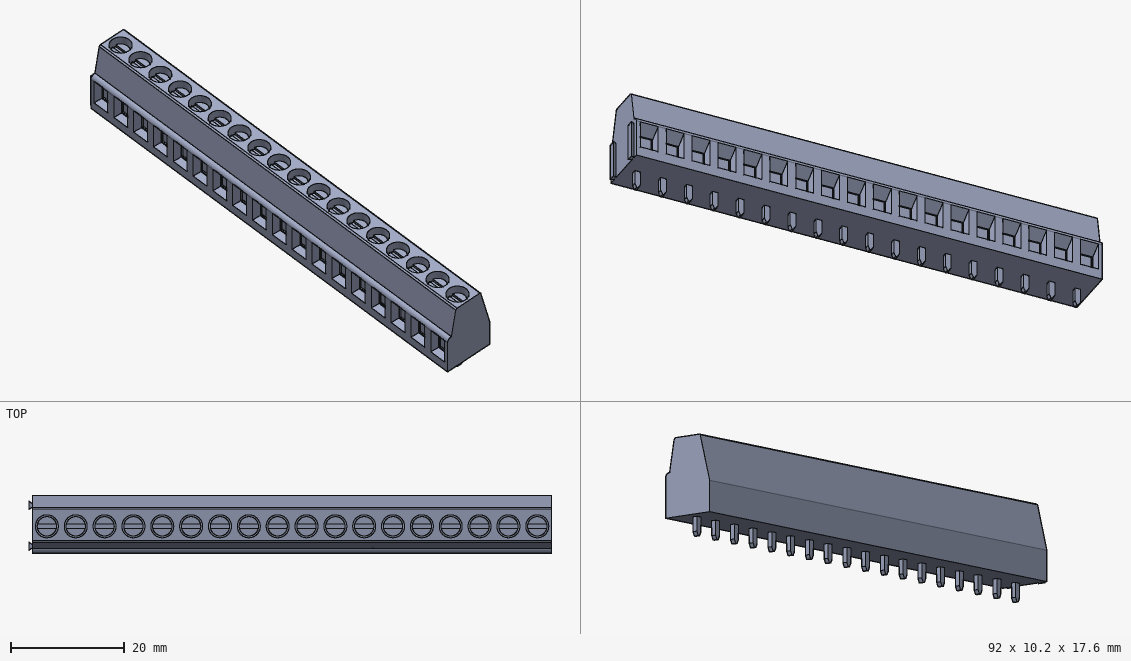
import cadquery as cq

overall_length = 92.0
rib_depth = 0.6
pole_count = 18
body_length = overall_length - rib_depth
pole_pitch = body_length / pole_count

body_depth = 10.2
body_height = 14.2
back_wall_height = 5.6
ledge_height = 8.1
ledge_radius = 0.9
top_front_y = 2.0
top_back_y = 8.0
top_front_chamfer = 0.3
top_back_chamfer = 0.2

mouth_width = 3.5
mouth_bottom = 1.9
mouth_top = ledge_height - ledge_radius
throat_width = 2.85
throat_bottom = 2.2
throat_top = 5.25
funnel_depth = 1.6
clamp_width = 2.5
clamp_bottom = 2.5
clamp_depth = 0.3

screw_y = 4.8
screw_hole_diameter = 4.05
screw_hole_depth = 1.4
screw_head_diameter = 3.4
screw_gap_depth = 0.7
screw_slot_width = 0.8
screw_slot_depth = 0.5

pin_width = 1.1
pin_thickness = 0.9
pin_length = 3.4
pin_tip_width = 0.4
pin_tip_length = 0.7
pin_y = body_depth / 2

rib_width = 1.5
rib_neck_width = 0.6
rib_height = mouth_top
rib_centres_y = (1.3, 8.5)

pole_centres_x = [(i + 0.5) * pole_pitch for i in range(pole_count)]


def housing():
    """Extrude the tapered cross-section along X."""
    body = (
        cq.Workplane("YZ")
        .moveTo(0, 0)
        .lineTo(0, ledge_height - ledge_radius)
        .radiusArc((ledge_radius, ledge_height), ledge_radius)
        .lineTo(top_front_y, body_height)
        .lineTo(top_back_y, body_height)
        .lineTo(body_depth, back_wall_height)
        .lineTo(body_depth, 0)
        .close()
        .extrude(body_length)
    )
    body = body.faces(">Z").edges("<Y").chamfer(top_front_chamfer)
    return body.faces(">Z").edges(">Y").chamfer(top_back_chamfer)


def wire_funnel():
    """Mouth in the front face narrowing to a throat, with a shallow clamp recess in its end."""
    mouth_centre_z = (mouth_bottom + mouth_top) / 2
    throat_centre_z = (throat_bottom + throat_top) / 2
    clamp_centre_z = (clamp_bottom + throat_top) / 2
    funnel = (
        cq.Workplane("XZ", origin=(0, 0, mouth_centre_z))
        .rect(mouth_width, mouth_top - mouth_bottom)
        .workplane(offset=-funnel_depth)
        .center(0, throat_centre_z - mouth_centre_z)
        .rect(throat_width, throat_top - throat_bottom)
        .loft(ruled=True)
    )
    clamp_recess = (
        cq.Workplane("XZ", origin=(0, funnel_depth, clamp_centre_z))
        .rect(clamp_width, throat_top - clamp_bottom)
        .extrude(-clamp_depth)
    )
    return funnel.union(clamp_recess)


def screw_recess():
    """Access hole above a slotted screw head, with a narrow gap around the head."""
    head_z = body_height - screw_hole_depth
    head_plane = cq.Workplane("XY", origin=(0, screw_y, head_z))
    hole = head_plane.circle(screw_hole_diameter / 2).extrude(screw_hole_depth)
    gap = (
        head_plane.circle(screw_hole_diameter / 2)
        .circle(screw_head_diameter / 2)
        .extrude(-screw_gap_depth)
    )
    slot = head_plane.rect(screw_head_diameter, screw_slot_width).extrude(-screw_slot_depth)
    return hole.union(gap).union(slot)


def solder_pin():
    """Rectangular pin below the base, tapered in X at its tip."""
    shoulder_z = pin_tip_length - pin_length
    return (
        cq.Workplane("XZ", origin=(0, pin_y, 0))
        .moveTo(-pin_width / 2, 0)
        .lineTo(pin_width / 2, 0)
        .lineTo(pin_width / 2, shoulder_z)
        .lineTo(pin_tip_width / 2, -pin_length)
        .lineTo(-pin_tip_width / 2, -pin_length)
        .lineTo(-pin_width / 2, shoulder_z)
        .close()
        .extrude(pin_thickness / 2, both=True)
    )


def dovetail_rib(y):
    """Upright rib on the left end, wider at its outer face than at the body."""
    return (
        cq.Workplane("XY")
        .moveTo(0, y - rib_neck_width / 2)
        .lineTo(-rib_depth, y - rib_width / 2)
        .lineTo(-rib_depth, y + rib_width / 2)
        .lineTo(0, y + rib_neck_width / 2)
        .close()
        .extrude(rib_height)
    )


def at_every_pole(feature):
    """Copies of one feature, one per pole along X."""
    shape = feature.val()
    copies = [shape.translate(cq.Vector(x, 0, 0)) for x in pole_centres_x]
    return cq.Workplane(cq.Compound.makeCompound(copies))


result = (
    housing()
    .cut(at_every_pole(wire_funnel()))
    .cut(at_every_pole(screw_recess()))
    .union(at_every_pole(solder_pin()))
)
for rib_y in rib_centres_y:
    result = result.union(dovetail_rib(rib_y))